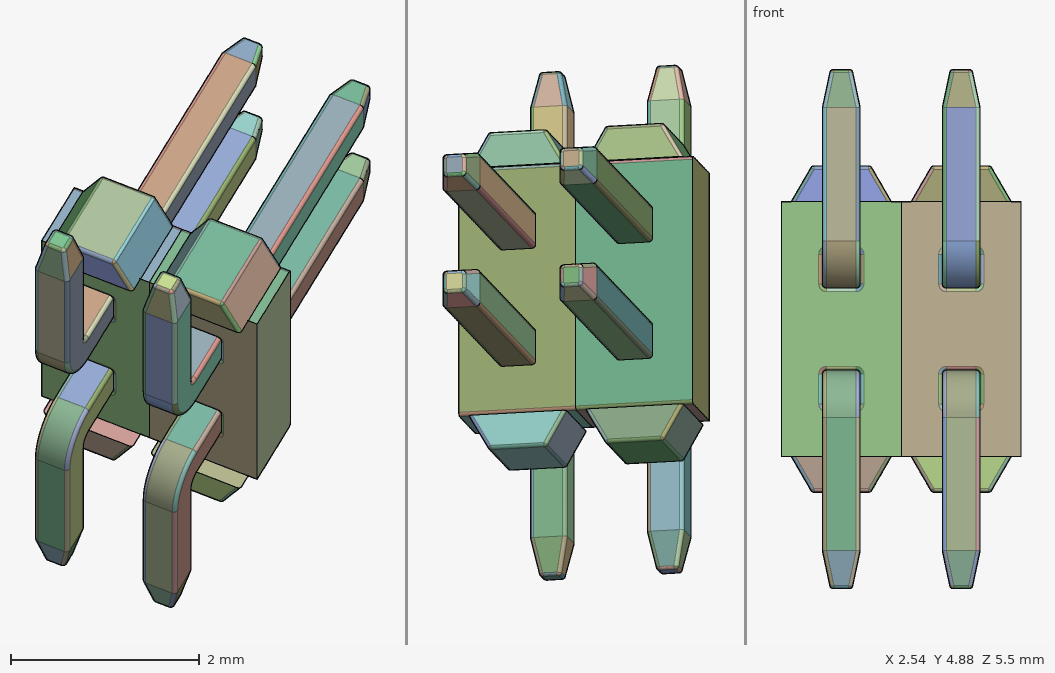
import cadquery as cq

PITCH = 1.27
COLUMN_SIDES = (-1, 1)
ROW_SIDES = (-1, 1)

OVERALL_HEIGHT = 5.5
OVERALL_DEPTH = 4.88
PIN_WIDTH = 0.4
PIN_EDGE_RADIUS = 0.045
MATING_LENGTH = 3.0
BEND_INNER_RADIUS = 0.1
MATING_TIP_LENGTH = 0.34
LEG_TIP_LENGTH = 0.4
TIP_WIDTH = 0.23
TIP_END_RADIUS = 0.04

BLOCK_HEIGHT = 2.7
BLOCK_DEPTH = 0.81
BLOCK_BACK_RADIUS = 0.04
MOUTH_RADIUS = 0.04

FOOT_DEPTH = 1.0
FOOT_HEIGHT = 0.38
FOOT_BASE_WIDTH = 1.06
FOOT_TOP_WIDTH = 0.62
FOOT_EDGE_RADIUS = 0.04

BEND_MID_RADIUS = BEND_INNER_RADIUS + PIN_WIDTH / 2
LEG_Y = MATING_LENGTH - OVERALL_DEPTH + PIN_WIDTH / 2
BEND_START_Y = LEG_Y + BEND_MID_RADIUS
ROW_Z = PITCH / 2
LEG_START_Z = ROW_Z + BEND_MID_RADIUS


def rounded_square(width, radius):
    return cq.Sketch().rect(width, width).vertices().fillet(radius)


PIN_SECTION = rounded_square(PIN_WIDTH, PIN_EDGE_RADIUS)
TIP_SECTION = rounded_square(TIP_WIDTH, PIN_EDGE_RADIUS)


def plane_facing(direction, origin):
    return cq.Plane(origin=origin, xDir=(1, 0, 0), normal=direction)


def straight_with_tip(direction, start, straight_length, tip_length, end_face):
    """Straight stretch of pin ending in a tapered tip with a rounded end."""
    straight = cq.Workplane(plane_facing(direction, start)).placeSketch(PIN_SECTION).extrude(straight_length)
    tip_start = cq.Vector(*start) + cq.Vector(*direction) * straight_length
    tip_end_section = TIP_SECTION.moved(cq.Location(cq.Vector(0, 0, tip_length)))
    tip = (
        cq.Workplane(plane_facing(direction, tip_start))
        .placeSketch(PIN_SECTION, tip_end_section)
        .loft()
        .faces(end_face)
        .edges()
        .fillet(TIP_END_RADIUS)
    )
    return straight.union(tip)


def make_pin(x):
    """Upper pin of one column: a mating stretch along +Y, a right-angle bend and a leg along +Z."""
    bend_start = (x, BEND_START_Y, ROW_Z)
    leg_start = (x, LEG_Y, LEG_START_Z)
    mating = straight_with_tip(
        (0, 1, 0), bend_start, MATING_LENGTH - MATING_TIP_LENGTH - BEND_START_Y, MATING_TIP_LENGTH, ">Y"
    )
    leg = straight_with_tip(
        (0, 0, 1), leg_start, OVERALL_HEIGHT / 2 - LEG_TIP_LENGTH - LEG_START_Z, LEG_TIP_LENGTH, ">Z"
    )
    bend = (
        cq.Workplane(plane_facing((0, 0, 1), leg_start))
        .placeSketch(PIN_SECTION)
        .revolve(90, (0, BEND_MID_RADIUS, 0), (1, BEND_MID_RADIUS, 0))
    )
    return mating.union(bend).union(leg)


def make_block(x):
    """Housing block of one column, with a matching hole and a rounded mouth for each pin."""
    block = (
        cq.Workplane("XY")
        .box(PITCH, BLOCK_DEPTH, BLOCK_HEIGHT)
        .translate((x, -BLOCK_DEPTH / 2, 0))
        .faces(">Y")
        .edges("|X")
        .fillet(BLOCK_BACK_RADIUS)
    )
    for row_side in ROW_SIDES:
        hole_plane = plane_facing((0, 1, 0), (x, -BLOCK_DEPTH, row_side * ROW_Z))
        hole = cq.Workplane(hole_plane).placeSketch(PIN_SECTION).extrude(BLOCK_DEPTH)
        block = block.cut(hole)
    front_face = block.faces("<Y").val()
    mouth_edges = [edge for mouth in front_face.innerWires() for edge in mouth.Edges()]
    return block.newObject(mouth_edges).fillet(MOUTH_RADIUS)


def make_foot(x):
    """Upper foot of one column: a trapezoid bar whose edges are rounded except around its base."""
    base_z = BLOCK_HEIGHT / 2
    top_z = base_z + FOOT_HEIGHT
    return (
        cq.Workplane("XZ")
        .polyline([
            (x - FOOT_BASE_WIDTH / 2, base_z),
            (x + FOOT_BASE_WIDTH / 2, base_z),
            (x + FOOT_TOP_WIDTH / 2, top_z),
            (x - FOOT_TOP_WIDTH / 2, top_z),
        ])
        .close()
        .extrude(FOOT_DEPTH)
        .edges("not <Z")
        .fillet(FOOT_EDGE_RADIUS)
    )


pins = []
blocks = []
feet = []
for column_side in COLUMN_SIDES:
    column_x = column_side * PITCH / 2
    pin = make_pin(column_x)
    foot = make_foot(column_x)
    blocks.append(make_block(column_x).val())
    pins += [pin.val(), pin.mirror("XY").val()]
    feet += [foot.val(), foot.mirror("XY").val()]

result = cq.Compound.makeCompound([*blocks, *feet, *pins])